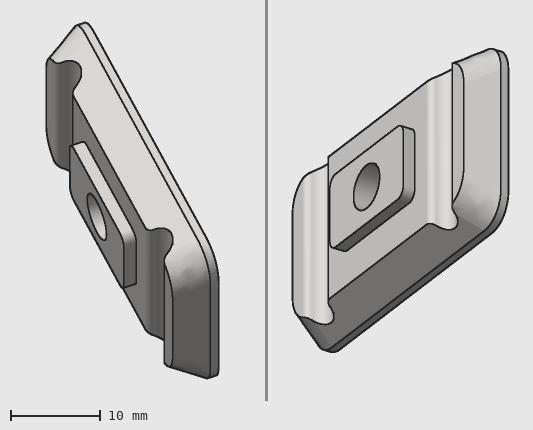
import cadquery as cq
import math

length = 38.9
height = 22.85
plate_thickness = 1.0
total_depth = 6.5

pad_depth = 1.5
body_depth = total_depth - pad_depth
taper_depth = body_depth - plate_thickness
end_inset = 1.48
side_inset = 2.35
corner_radius = 4.0

pad_length = 15.35
pad_height = 9.3
pad_corner_radius = 1.2
hole_diameter = 5.5

groove_offset = 13.0
groove_radius = 2.0
lip_radius = 1.0


def make_body():
    """Tapered block with rounded sloping corners, extended back by a straight plate."""
    taper = (
        cq.Workplane("XZ", origin=(0, -plate_thickness, 0))
        .rect(length, height)
        .workplane(offset=taper_depth)
        .rect(length - 2 * end_inset, height - 2 * side_inset)
        .loft(ruled=True)
    )
    sloping_edges = taper.edges("not(#X or #Y or #Z)")
    taper = sloping_edges.fillet(corner_radius)
    plate = taper.faces(">Y").wires().toPending().workplane().extrude(plate_thickness, combine=False)
    return taper.union(plate)


def make_groove(center_x):
    """Half-round groove along Z, blended into the front face by a convex arc on each side."""
    face_y = -body_depth
    lip_x = math.sqrt((groove_radius + lip_radius) ** 2 - lip_radius**2)
    lip_y = face_y + lip_radius

    share = groove_radius / (groove_radius + lip_radius)
    blend_x = lip_x * share
    blend_y = face_y + lip_radius * share

    blend_angle = math.pi + math.atan2(lip_radius, lip_x)
    mid_angle = (blend_angle + 3 * math.pi / 2) / 2
    mid_x = lip_x + lip_radius * math.cos(mid_angle)
    mid_y = lip_y + lip_radius * math.sin(mid_angle)

    return (
        cq.Workplane("XY", origin=(center_x, 0, 0))
        .moveTo(-lip_x, face_y)
        .threePointArc((-mid_x, mid_y), (-blend_x, blend_y))
        .threePointArc((0, face_y + groove_radius), (blend_x, blend_y))
        .threePointArc((mid_x, mid_y), (lip_x, face_y))
        .close()
        .extrude(height / 2, both=True)
    )


def make_pad():
    """Rounded rectangular pad standing on the front face."""
    return (
        cq.Workplane("XZ", origin=(0, -body_depth, 0))
        .rect(pad_length, pad_height)
        .extrude(pad_depth)
        .edges("|Y")
        .fillet(pad_corner_radius)
    )


result = make_body().union(make_pad())
for side in (-1, 1):
    result = result.cut(make_groove(side * groove_offset))

hole = cq.Workplane("XZ").circle(hole_diameter / 2).extrude(total_depth)
result = result.cut(hole)